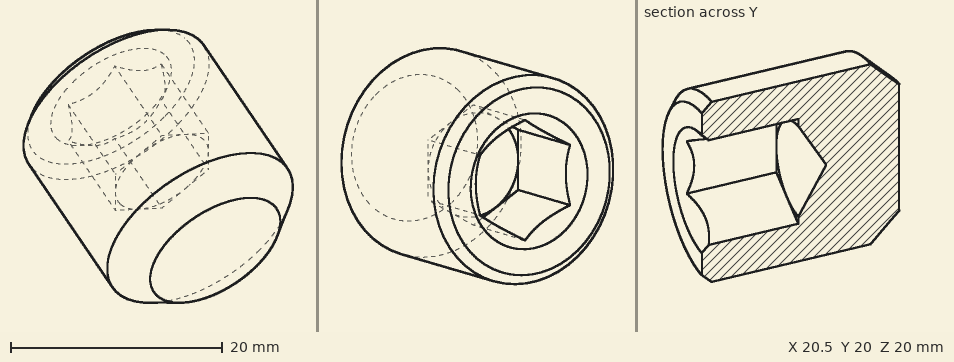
import cadquery as cq
import math

length = 20.5
diameter = 20.0
socket_end_chamfer = 1.02
point_end_chamfer = 3.0

across_flats = 10.0
socket_depth = 10.0
countersink_diameter = 13.0
drill_point_angle = 120.0

radius = diameter / 2
across_corners = across_flats / math.cos(math.radians(30))
countersink_radius = countersink_diameter / 2
drill_radius = across_flats / 2
drill_point_depth = drill_radius / math.tan(math.radians(drill_point_angle / 2))


def cone(base_x, base_radius, height):
    """Cone on the screw axis, with its tip pointing along +X."""
    axis = cq.Vector(1, 0, 0)
    return cq.Workplane(cq.Solid.makeCone(base_radius, 0, height, cq.Vector(base_x, 0, 0), axis))


def make_body():
    """Cylinder with a 45 degree chamfer on each end, the larger at +X."""
    body = cq.Workplane("YZ").circle(radius).extrude(length)
    body = body.faces("<X").chamfer(socket_end_chamfer)
    return body.faces(">X").chamfer(point_end_chamfer)


def make_socket():
    """Hexagon with corners along Z, a countersunk mouth and a conical bottom."""
    hexagon = (
        cq.Workplane("YZ")
        .transformed(rotate=(0, 0, 90))
        .polygon(6, across_corners)
        .extrude(socket_depth)
    )
    countersink = cone(0, countersink_radius, countersink_radius)
    drill_point = cone(socket_depth, drill_radius, drill_point_depth)
    return hexagon.union(countersink).union(drill_point)


result = make_body().cut(make_socket())